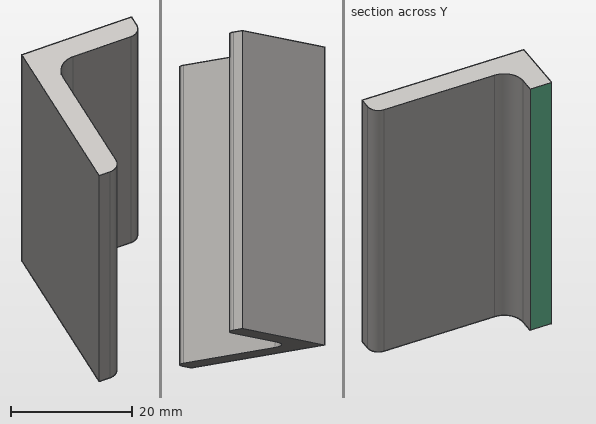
import cadquery as cq

long_leg = 30.0
short_leg = 20.0
thickness = 4.0
length = 50.0
root_radius = 3.5
toe_radius = 2.0


def angle_blank():
    """Sharp-cornered L profile with its heel at the origin."""
    outline = [
        (0, 0),
        (long_leg, 0),
        (long_leg, thickness),
        (thickness, thickness),
        (thickness, short_leg),
        (0, short_leg),
    ]
    return cq.Workplane("XY").polyline(outline).close().extrude(length)


def round_edge(body, x, y, radius):
    """Fillet the vertical edge that passes nearest to (x, y)."""
    edge = cq.selectors.NearestToPointSelector((x, y, length / 2))
    return body.edges("|Z").edges(edge).fillet(radius)


result = angle_blank()
result = round_edge(result, thickness, thickness, root_radius)
result = round_edge(result, long_leg, thickness, toe_radius)
result = round_edge(result, thickness, short_leg, toe_radius)